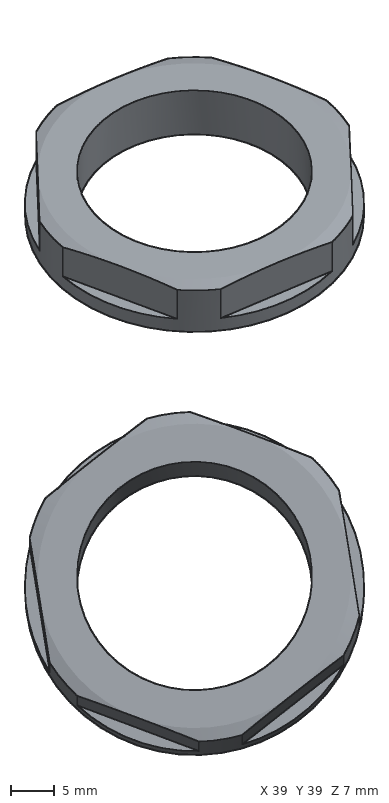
import math
import cadquery as cq

outer_diameter = 39.0
bore_diameter = 27.0
across_flats = 36.0
total_height = 7.0
flange_height = 2.0
chamfer_angle = 15.0

outer_radius = outer_diameter / 2
chamfer_top_radius = across_flats / 2
chamfer_drop = (outer_radius - chamfer_top_radius) * math.tan(math.radians(chamfer_angle))
across_corners = across_flats / math.cos(math.pi / 6)


def turned_blank():
    """Solid of revolution about Z with a shallow conical chamfer around the top face."""
    return (
        cq.Workplane("XZ")
        .moveTo(0, 0)
        .lineTo(outer_radius, 0)
        .lineTo(outer_radius, total_height - chamfer_drop)
        .lineTo(chamfer_top_radius, total_height)
        .lineTo(0, total_height)
        .close()
        .revolve(360, (0, 0, 0), (0, 1, 0))
    )


def wrench_envelope():
    """Round flange zone topped by a hexagon whose flats include the +Y and -Y sides."""
    flange = cq.Workplane("XY").circle(outer_radius).extrude(flange_height)
    hexagon = (
        cq.Workplane("XY")
        .polygon(6, across_corners)
        .extrude(total_height)
    )
    return flange.union(hexagon)


def bore():
    """Through hole along Z."""
    return cq.Workplane("XY").circle(bore_diameter / 2).extrude(total_height)


result = turned_blank().intersect(wrench_envelope()).cut(bore())